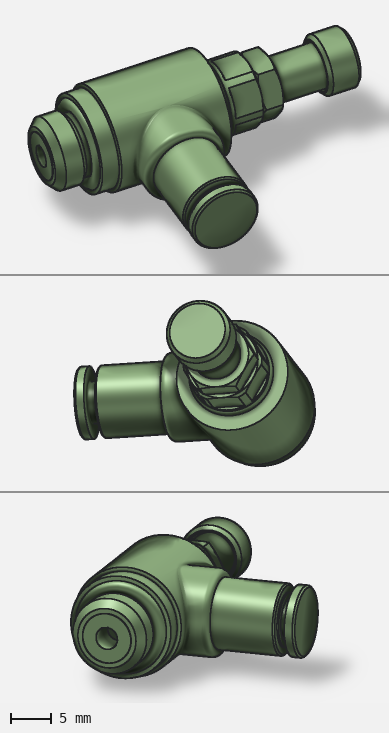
import cadquery as cq
import math


overall_width = 27.6
sleeve_diameter = 14.0
sleeve_radius = sleeve_diameter / 2
sleeve_length = 15.0
bore_radius = 4.75

boss_radius = 5.5
boss_end = 9.65
boss_rounding = 0.85
boss_root_fillet = 0.4

tube_radius = 4.5
tube_end = 17.98
tube_chamfer = 0.2
guide_radius = 3.4
guide_end = 18.2
neck_radius = 2.6
button_start = 19.3
button_end = overall_width - sleeve_radius
button_chamfer = 0.25
neck_root_fillet = 0.15

selection_margin = 0.05

sleeve_top = sleeve_length / 2
sleeve_bottom = -sleeve_top

core_radius = 3.15
core_tip = -15.08
hole_radius = 1.4
hole_depth = 4.2

thread_radius = 4.8
thread_tip = -15.0
thread_tip_chamfer = 1.0
thread_start = -11.55
undercut_radius = 4.15

collar_radius = 6.5
collar_gap = 0.13
collar_top = sleeve_bottom - collar_gap
collar_bottom = -9.9
seal_outer_radius = 5.92
seal_height = 0.65

bead_section_radius = 0.55
bead_end = sleeve_top + 2 * bead_section_radius

flange_radius = 4.9
flange_end = 9.15
body_hex_flats = 9.0
body_hex_end = 13.1
nut_flats = 8.0
nut_end = 16.1
hex_chamfer_angle = 30.0
hex_half_sector = 180 / 6

shaft_radius = 3.0
knob_radius = 4.0
knob_start = 22.43
knob_end = 26.92
knob_chamfer = 0.5
knob_recess_radius = 3.28
knob_recess_depth = 0.85


def cylinder_y(radius, y_start, y_end):
    """Cylinder along the stem axis."""
    return cq.Workplane("XZ", origin=(0, y_start, 0)).circle(radius).extrude(y_start - y_end)


def cylinder_x(radius, x_start, x_end):
    """Cylinder along the branch axis."""
    return cq.Workplane("YZ", origin=(x_start, 0, 0)).circle(radius).extrude(x_end - x_start)


def make_elbow():
    """Sleeve with a rounded boss, the port tube and the release button."""
    sleeve = cylinder_y(sleeve_radius, sleeve_bottom, sleeve_top)
    boss = cylinder_x(boss_radius, 0, boss_end)
    elbow = sleeve.union(boss)
    root_box = cq.selectors.BoxSelector(
        (0, -boss_radius - selection_margin, -boss_radius - selection_margin),
        (sleeve_radius + selection_margin, boss_radius + selection_margin, boss_radius + selection_margin),
        boundingbox=True,
    )
    elbow = elbow.edges(root_box).fillet(boss_root_fillet)
    elbow = elbow.faces(">X").edges().fillet(boss_rounding)

    tube = cylinder_x(tube_radius, 0, tube_end).faces(">X").chamfer(tube_chamfer)
    guide = cylinder_x(guide_radius, 0, guide_end)
    neck = cylinder_x(neck_radius, 0, button_end)
    button = cylinder_x(tube_radius, button_start, button_end).faces(">X").chamfer(button_chamfer)
    release_button = neck.union(button)
    neck_root = cq.selectors.BoxSelector(
        (button_start - selection_margin, -neck_radius - selection_margin, -neck_radius - selection_margin),
        (button_start + selection_margin, neck_radius + selection_margin, neck_radius + selection_margin),
        boundingbox=True,
    )
    release_button = release_button.edges(neck_root).fillet(neck_root_fillet)
    elbow = elbow.union(tube).union(guide).union(release_button)
    return elbow.cut(cylinder_y(bore_radius, sleeve_bottom, sleeve_top))


def make_turned_stem():
    """Revolved part of the stem, from the threaded tip past seal ring and bead to the flange."""
    chamfer_radius = thread_radius - thread_tip_chamfer
    undercut_end = thread_start + thread_radius - undercut_radius
    seal_tip = ((undercut_radius + seal_outer_radius) / 2, collar_bottom - seal_height)
    bead_tip = (bore_radius + bead_section_radius, sleeve_top + bead_section_radius)
    profile = (
        cq.Workplane("XY")
        .moveTo(0, core_tip)
        .lineTo(core_radius, core_tip)
        .lineTo(core_radius, thread_tip)
        .lineTo(chamfer_radius, thread_tip)
        .lineTo(thread_radius, thread_tip + thread_tip_chamfer)
        .lineTo(thread_radius, thread_start)
        .lineTo(undercut_radius, undercut_end)
        .lineTo(undercut_radius, collar_bottom)
        .threePointArc(seal_tip, (seal_outer_radius, collar_bottom))
        .lineTo(collar_radius, collar_bottom)
        .lineTo(collar_radius, collar_top)
        .lineTo(bore_radius, collar_top)
        .lineTo(bore_radius, sleeve_top)
        .threePointArc(bead_tip, (bore_radius, bead_end))
        .lineTo(flange_radius, bead_end)
        .lineTo(flange_radius, flange_end)
        .lineTo(0, flange_end)
        .close()
    )
    return profile.revolve(360, (0, 0, 0), (0, 1, 0))


def make_hexagon(flats, y_start, y_end, corner_radius, chamfer_start):
    """Hexagon with flats facing +Z and -Z, trimmed by a turned, chamfered outline."""
    prism = (
        cq.Workplane("XZ", origin=(0, y_start, 0))
        .polygon(6, flats, circumscribed=True)
        .extrude(y_start - y_end)
        .rotate((0, 0, 0), (0, 1, 0), hex_half_sector)
    )
    chamfer_width = corner_radius - flats / 2
    chamfer_height = chamfer_width * math.tan(math.radians(hex_chamfer_angle))
    blank = cylinder_y(corner_radius, y_start, y_end)
    blank = blank.faces(">Y").chamfer(chamfer_height, chamfer_width)
    if chamfer_start:
        blank = blank.faces("<Y").chamfer(chamfer_height, chamfer_width)
    return prism.intersect(blank)


def make_stem():
    """Threaded stem with its collar, hexagon, lock nut, shaft and recessed knob, and a tip hole."""
    nut_corner_radius = nut_flats / math.sqrt(3)
    body_hex = make_hexagon(body_hex_flats, flange_end, body_hex_end, flange_radius, False)
    nut = make_hexagon(nut_flats, body_hex_end, nut_end, nut_corner_radius, True)
    shaft = cylinder_y(shaft_radius, nut_end, knob_start + knob_recess_depth)
    knob = cylinder_y(knob_radius, knob_start, knob_end).faces("<Y or >Y").chamfer(knob_chamfer)
    knob = knob.cut(cylinder_y(knob_recess_radius, knob_start, knob_start + knob_recess_depth))
    stem = make_turned_stem().union(body_hex).union(nut).union(knob).union(shaft)
    return stem.cut(cylinder_y(hole_radius, core_tip, core_tip + hole_depth))


elbow = make_elbow()
stem = make_stem()

result = cq.Compound.makeCompound([elbow.val(), stem.val()])